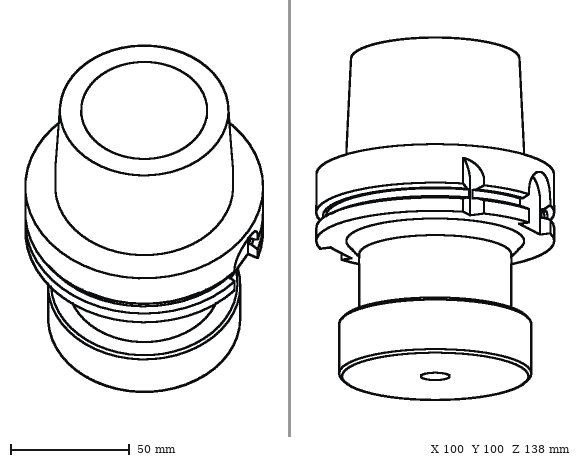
import cadquery as cq

total_height = 138.0
foot_height = 24.0
neck_top = 53.0
flange_bottom = 58.8
groove_bottom = 66.0
groove_top = 69.7
flange_top = 87.8
taper_start = 97.8

foot_radius = 80.9 / 2
neck_radius = 64.0 / 2
shank_radius = 74.8 / 2
shank_top_radius = 71.0 / 2
flange_radius = 100.0 / 2
groove_radius = 91.9 / 2

foot_chamfer = 1.2
lip_width = 2.8
lip_height = 1.4

bore_radius = 53.0 / 2
bore_depth = 69.0
through_radius = 12.1 / 2

slot_width = 20.0
slot_top = 82.8
key_slot_floor = 44.3
side_slot_floor = 32.2
side_slot_y = 41.7


def make_body():
    """Revolve the outer profile about Z."""
    lip_radius = flange_radius - lip_width
    profile = [
        (0, 0),
        (foot_radius - foot_chamfer, 0),
        (foot_radius, foot_chamfer),
        (foot_radius, foot_height - foot_chamfer),
        (foot_radius - foot_chamfer, foot_height),
        (neck_radius, foot_height),
        (neck_radius, neck_top),
        (shank_radius, flange_bottom),
        (flange_radius, flange_bottom),
        (flange_radius, groove_bottom - lip_height),
        (lip_radius, groove_bottom),
        (groove_radius, groove_bottom),
        (groove_radius, groove_top),
        (lip_radius, groove_top),
        (flange_radius, groove_top + lip_height),
        (flange_radius, flange_top),
        (shank_radius, flange_top),
        (shank_radius, taper_start),
        (shank_top_radius, total_height),
        (0, total_height),
    ]
    return cq.Workplane("XZ").polyline(profile).close().revolve(360, (0, 0, 0), (0, 1, 0))


def make_slot(floor_distance, center_y, side):
    """Slot from the flange rim to a flat floor; side is +1 for +X, -1 for -X."""
    half_width = slot_width / 2
    arc_center_z = slot_top - half_width
    return (
        cq.Workplane("YZ", origin=(side * floor_distance, center_y, 0))
        .moveTo(-half_width, flange_bottom)
        .lineTo(-half_width, arc_center_z)
        .threePointArc((0, slot_top), (half_width, arc_center_z))
        .lineTo(half_width, flange_bottom)
        .close()
        .extrude(side * flange_radius)
    )


def make_axial_hole():
    """Wide bore from the top, continued by a narrow hole to the base."""
    through = cq.Workplane("XY").circle(through_radius).extrude(total_height)
    bore = (
        cq.Workplane("XY")
        .workplane(offset=total_height - bore_depth)
        .circle(bore_radius)
        .extrude(bore_depth)
    )
    return through.union(bore)


result = make_body().cut(make_axial_hole())

for side in (-1, 1):
    result = result.cut(make_slot(key_slot_floor, 0, side))

result = result.cut(make_slot(side_slot_floor, side_slot_y, -1))